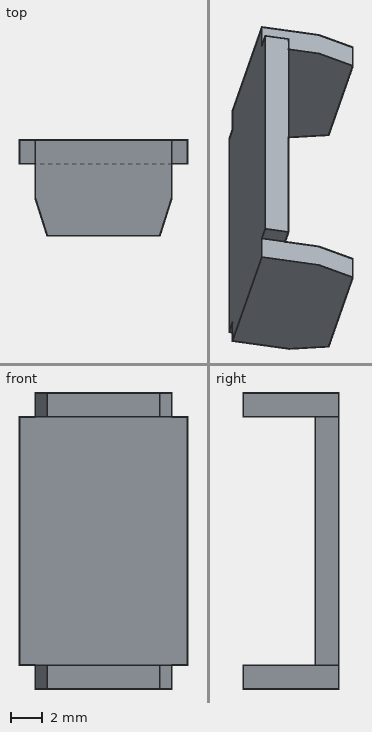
import cadquery as cq

plate_width = 10.67
depth = 6.09
height = 18.8

thickness = 1.52

side_step = 1.0
flange_width = plate_width - 2 * side_step
tip_inset = 0.76
taper_length = 2.39

plate_height = height - 2 * thickness


def back_plate():
    """Upright plate against the rear plane Y = 0, standing between the flanges."""
    return cq.Workplane("XY").box(
        plate_width, thickness, plate_height, centered=(True, False, True)
    ).translate((0, -thickness, 0))


def end_flange(bottom_z):
    """Horizontal flange reaching forward (-Y), with both front corners tapered."""
    half_width = flange_width / 2
    half_tip = half_width - tip_inset
    taper_start = -(depth - taper_length)
    outline = [
        (-half_width, 0),
        (-half_width, taper_start),
        (-half_tip, -depth),
        (half_tip, -depth),
        (half_width, taper_start),
        (half_width, 0),
    ]
    return cq.Workplane("XY", origin=(0, 0, bottom_z)).polyline(outline).close().extrude(thickness)


result = back_plate()
for flange_bottom in (-height / 2, plate_height / 2):
    result = result.union(end_flange(flange_bottom))